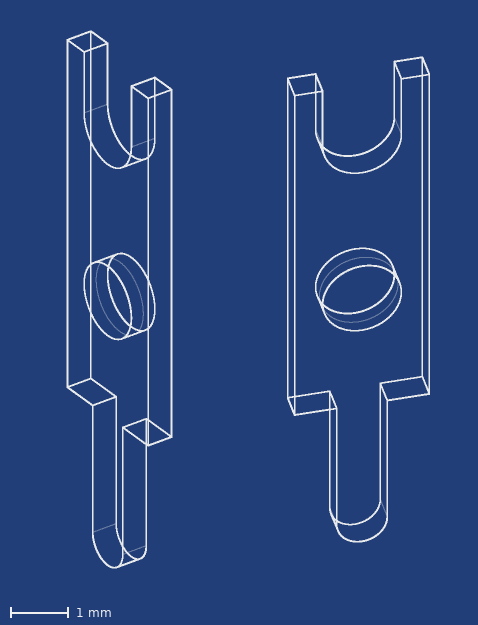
import cadquery as cq

total_length = 10.0
thickness = 0.5
body_width = 2.4

tail_length = 3.0
tail_width = 0.9
tail_radius = tail_width / 2

opening_diameter = 1.4
opening_radius = opening_diameter / 2
hole_height_above_body_bottom = 2.33
slot_depth = 1.92

body_bottom = tail_length
hole_center = body_bottom + hole_height_above_body_bottom
slot_center = total_length - slot_depth + opening_radius

half_body = body_width / 2
half_tail = tail_width / 2

outline = (
    cq.Workplane("XZ")
    .moveTo(half_tail, tail_radius)
    .lineTo(half_tail, body_bottom)
    .lineTo(half_body, body_bottom)
    .lineTo(half_body, total_length)
    .lineTo(opening_radius, total_length)
    .lineTo(opening_radius, slot_center)
    .threePointArc((0, slot_center - opening_radius), (-opening_radius, slot_center))
    .lineTo(-opening_radius, total_length)
    .lineTo(-half_body, total_length)
    .lineTo(-half_body, body_bottom)
    .lineTo(-half_tail, body_bottom)
    .lineTo(-half_tail, tail_radius)
    .threePointArc((0, 0), (half_tail, tail_radius))
    .close()
)
plate = outline.extrude(thickness / 2, both=True)

hole = (
    cq.Workplane("XZ")
    .center(0, hole_center)
    .circle(opening_radius)
    .extrude(thickness, both=True)
)

result = plate.cut(hole)